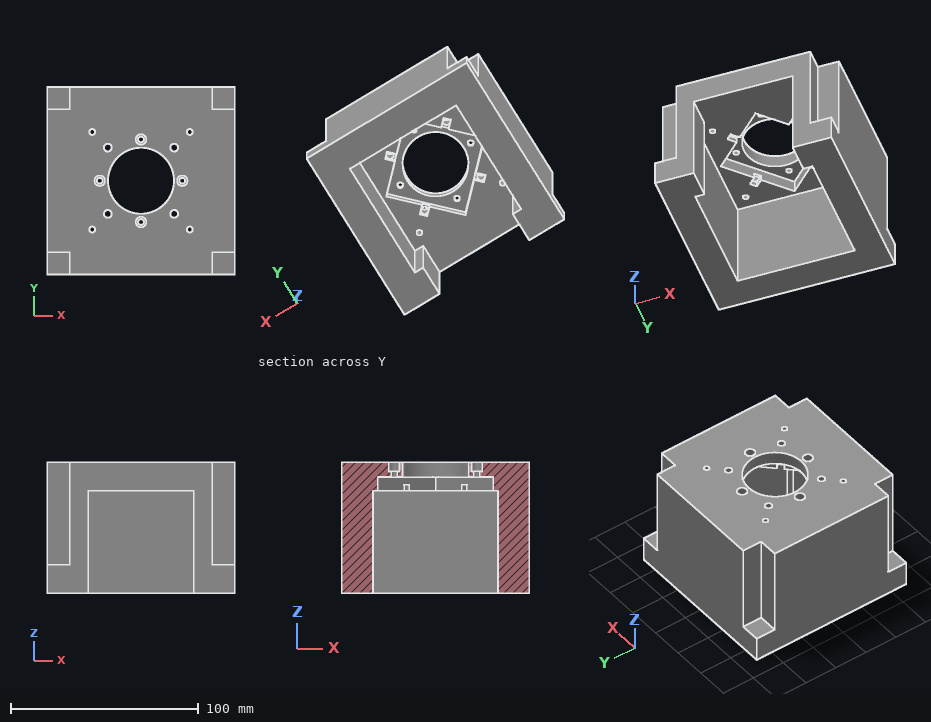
import cadquery as cq
import math

side = 100.0
height = 70.0

notch_side = 12.0
foot_height = 15.3

cavity_side = 66.4
opening_width = 56.0
lintel_height = 15.3
opening_height = height - lintel_height

recess_side = 43.4
plate_thickness = 8.0
recess_depth = lintel_height - plate_thickness
slot_width = 4.0
slot_length = 54.0
slot_depth = 3.1

bore_diameter = 35.1
motor_hole_diameter = 3.0
motor_hole_radius = 22.0
counterbore_diameter = 5.6
counterbore_depth = 5.0
diagonal_hole_diameter = 4.0
diagonal_hole_radius = 25.0
outer_hole_diameter = 3.0
outer_hole_offset = 26.0

diagonal = 45
holes_per_pattern = 4


def box(length, width, tall, bottom=0.0):
    """Box centred on the Z axis, standing on the given level."""
    return cq.Workplane("XY").workplane(offset=bottom).rect(length, width).extrude(tall)


def corner_notches():
    pitch = side - notch_side
    return (
        cq.Workplane("XY")
        .workplane(offset=foot_height)
        .rect(pitch, pitch, forConstruction=True)
        .vertices()
        .rect(notch_side, notch_side)
        .extrude(height - foot_height)
    )


def front_opening():
    """Doorway through the front wall only, reaching into the cavity."""
    return box(opening_width, side / 2, opening_height).translate((0, -side / 4, 0))


def motor_recess():
    """Turned square recess crossed by two shallower slots that run out to the diagonal holes."""
    recess = box(recess_side, recess_side, recess_depth, opening_height)
    for length, width in ((slot_length, slot_width), (slot_width, slot_length)):
        recess = recess.union(box(length, width, slot_depth, opening_height))
    return recess.rotate((0, 0, 0), (0, 0, 1), diagonal)


body = box(side, side, height)
body = body.cut(corner_notches())
body = body.cut(box(cavity_side, cavity_side, opening_height))
body = body.cut(front_opening())
body = body.cut(motor_recess())

top = cq.Workplane("XY", origin=(0, 0, height))
body = body.cut(top.circle(bore_diameter / 2).extrude(-lintel_height))

motor_holes = top.polarArray(motor_hole_radius, 0, 360, holes_per_pattern)
body = body.cut(motor_holes.circle(motor_hole_diameter / 2).extrude(-lintel_height))
body = body.cut(motor_holes.circle(counterbore_diameter / 2).extrude(-counterbore_depth))

for radius, diameter in (
    (diagonal_hole_radius, diagonal_hole_diameter),
    (outer_hole_offset * math.sqrt(2), outer_hole_diameter),
):
    holes = top.polarArray(radius, diagonal, 360, holes_per_pattern)
    body = body.cut(holes.circle(diameter / 2).extrude(-lintel_height))

result = body